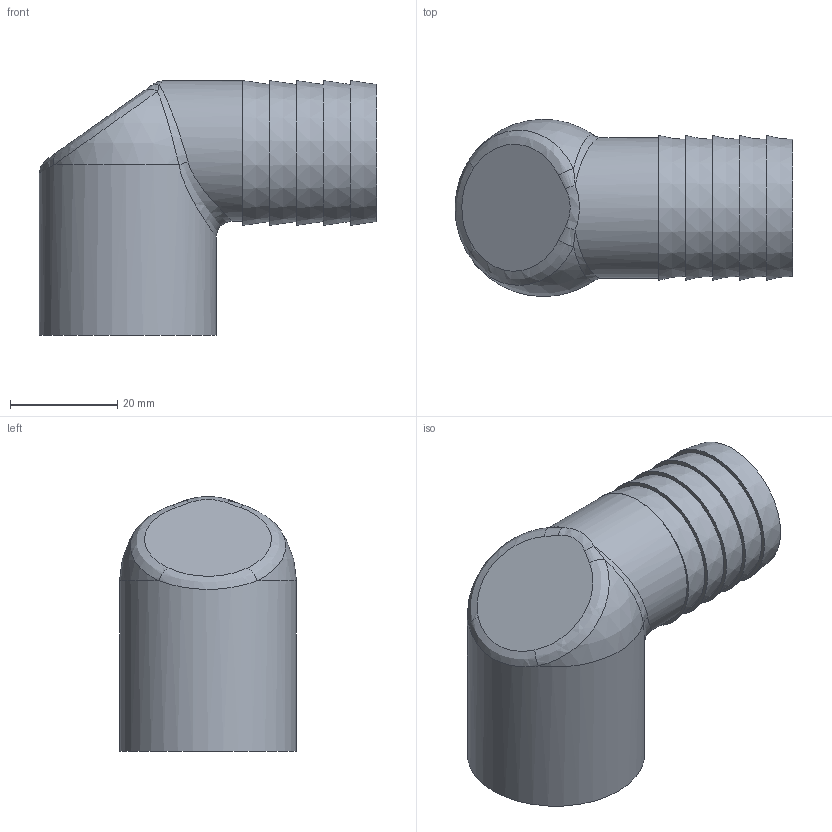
import cadquery as cq
import math

body_diameter = 33.0
body_radius = body_diameter / 2
dome_center_z = 31.8

part_height = 47.5
neck_diameter = 26.2
neck_axis_z = part_height - neck_diameter / 2

barb_count = 5
barb_pitch = 5.0
barb_large_diameter = 27.0
barb_small_diameter = 25.5
barb_axis_z = part_height - barb_large_diameter / 2
barb_start_x = 21.5

flat_angle = 35.3
flat_distance = 9.5

junction_fillet = 3.0
flat_fillet = 3.0


def make_body():
    """Upright cylinder with a hemispherical top."""
    cylinder = cq.Workplane("XY").circle(body_radius).extrude(dome_center_z)
    dome = (
        cq.Workplane("XZ", origin=(0, 0, dome_center_z))
        .lineTo(body_radius, 0)
        .radiusArc((0, body_radius), -body_radius)
        .close()
        .revolve(360, (0, 0), (0, 1))
    )
    return cylinder.union(dome)


def make_neck():
    """Plain horizontal cylinder from the body axis to the first barb."""
    return cq.Workplane("YZ", origin=(0, 0, neck_axis_z)).circle(neck_diameter / 2).extrude(barb_start_x)


def make_barb(index):
    """One cone of the barbed end."""
    start_x = barb_start_x + index * barb_pitch
    return (
        cq.Workplane("XZ", origin=(start_x, 0, barb_axis_z))
        .lineTo(0, barb_large_diameter / 2)
        .lineTo(barb_pitch, barb_small_diameter / 2)
        .lineTo(barb_pitch, 0)
        .close()
        .revolve(360, (0, 0), (1, 0))
    )


def fillet_junction(elbow):
    """Round the edge where the neck meets the body and the dome."""
    margin = 0.5
    junction_zone = cq.selectors.BoxSelector(
        (margin, -body_radius, margin),
        (barb_start_x - margin, body_radius, part_height + margin),
    )
    return elbow.edges(junction_zone).edges("not %CIRCLE").fillet(junction_fillet)


def cut_flat(elbow):
    """Slice off the outer corner with the sloping plane and round its rim."""
    slope = math.radians(flat_angle)
    normal = cq.Vector(-math.sin(slope), 0, math.cos(slope))
    origin = cq.Vector(0, 0, dome_center_z) + normal * flat_distance
    flat_plane = cq.Plane(origin, xDir=(0, 1, 0), normal=normal)
    cutter_size = 2 * body_diameter
    cutter = cq.Workplane(flat_plane).rect(cutter_size, cutter_size).extrude(body_radius)
    sliced = elbow.cut(cutter)
    outermost_face = cq.selectors.DirectionMinMaxSelector(normal, True)
    return sliced.faces(outermost_face).edges().fillet(flat_fillet)


elbow = make_body().union(make_neck())
elbow = fillet_junction(elbow)
elbow = cut_flat(elbow)

result = elbow
for barb_index in range(barb_count):
    result = result.union(make_barb(barb_index))